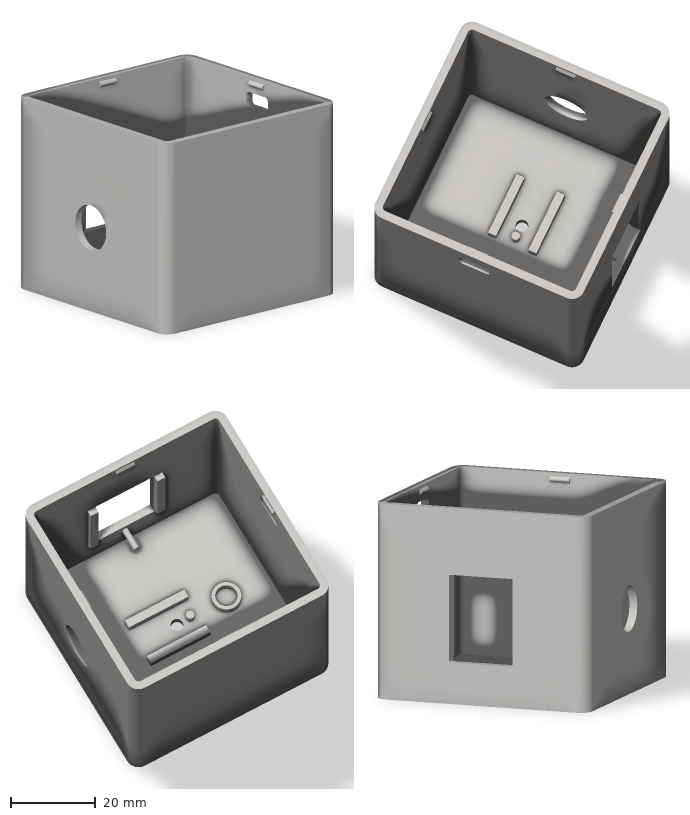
import cadquery as cq

SIDE = 54.0
HEIGHT = 47.0
WALL = 2.0
FLOOR = 2.0
OUTER_CORNER = 3.0
INNER_CORNER = 1.0
INNER_FACE = SIDE / 2 - WALL

FRONT_HOLE_RADIUS = 5.55
FRONT_HOLE_Z = 20.5

WINDOW_WIDTH = 16.0
WINDOW_BOTTOM = 10.0
WINDOW_TOP = 31.0
WINDOW_HEIGHT = WINDOW_TOP - WINDOW_BOTTOM
WINDOW_CORNER = 0.5
RIB_WIDTH = 2.1
RIB_DEPTH = 1.5

PIN_RADIUS = 0.75
PIN_LENGTH = 5.65
PIN_Z = 8.0

SLOT_WIDTH = 7.85
SLOT_HEIGHT = 3.5
SLOT_CORNER = 1.0
SLOT_Z = 41.4

RIDGE_LENGTH = 5.0
RIDGE_HEIGHT = 1.6
RIDGE_NOSE_RADIUS = 0.45
RIDGE_Z = 45.4

FLOOR_FEATURE_HEIGHT = 2.0
SCREW_HOLE_RADIUS = 1.5
PEG_RADIUS = 1.0
PEG_Y = 3.55
RAIL_WIDTH = 2.05
RAIL_LENGTH = 16.15
RAIL_PITCH = 10.5
RAIL_Y = -2.55
BOSS_RADIUS = 3.5
BOSS_HOLE_RADIUS = 2.65
BOSS_Y = 13.4


def box_shell():
    outer = cq.Workplane("XY").rect(SIDE, SIDE).extrude(HEIGHT).edges("|Z").fillet(OUTER_CORNER)
    cavity = (
        cq.Workplane("XY", origin=(0, 0, FLOOR))
        .rect(2 * INNER_FACE, 2 * INNER_FACE)
        .extrude(HEIGHT - FLOOR)
        .edges("|Z")
        .fillet(INNER_CORNER)
    )
    return outer.cut(cavity)


def front_hole():
    wall_plane = cq.Workplane("XZ", origin=(0, -INNER_FACE, FRONT_HOLE_Z))
    return wall_plane.circle(FRONT_HOLE_RADIUS).extrude(WALL)


def window():
    centre = (-SIDE / 2, 0, WINDOW_BOTTOM + WINDOW_HEIGHT / 2)
    opening = cq.Workplane("YZ", origin=centre).rect(WINDOW_WIDTH, WINDOW_HEIGHT).extrude(WALL)
    return opening.edges("|X and <Z").fillet(WINDOW_CORNER)


def window_ribs():
    """Ribs beside the window, each with a 45 degree slope under its lower end."""
    profile = (
        cq.Workplane("XZ")
        .moveTo(-INNER_FACE, WINDOW_BOTTOM)
        .lineTo(-INNER_FACE + RIB_DEPTH, WINDOW_BOTTOM + RIB_DEPTH)
        .lineTo(-INNER_FACE + RIB_DEPTH, WINDOW_TOP)
        .lineTo(-INNER_FACE, WINDOW_TOP)
        .close()
        .extrude(RIB_WIDTH / 2, both=True)
    )
    offset = (WINDOW_WIDTH + RIB_WIDTH) / 2
    return profile.translate((0, offset, 0)).union(profile.translate((0, -offset, 0)))


def wall_pin():
    start = cq.Workplane("YZ", origin=(-INNER_FACE, 0, PIN_Z))
    return start.circle(PIN_RADIUS).extrude(PIN_LENGTH)


def cable_slot():
    wall_plane = cq.Workplane("XZ", origin=(0, SIDE / 2, SLOT_Z))
    return wall_plane.rect(SLOT_WIDTH, SLOT_HEIGHT).extrude(WALL).edges("|Y").fillet(SLOT_CORNER)


def snap_ridges():
    """45 degree ridges with a rounded nose, repeated on the four walls."""
    half = RIDGE_HEIGHT / 2
    ridge = (
        cq.Workplane("XZ")
        .moveTo(INNER_FACE, RIDGE_Z - half)
        .lineTo(INNER_FACE, RIDGE_Z + half)
        .lineTo(INNER_FACE - half, RIDGE_Z)
        .close()
        .extrude(RIDGE_LENGTH / 2, both=True)
        .edges("|Y and <X")
        .fillet(RIDGE_NOSE_RADIUS)
    )
    ridges = ridge
    for angle in (90, 180, 270):
        ridges = ridges.union(ridge.rotate((0, 0, 0), (0, 0, 1), angle))
    return ridges


def floor_features():
    """Two parallel rails, a small locating peg and a ring boss, all standing on the floor."""
    floor_top = cq.Workplane("XY", origin=(0, 0, FLOOR))
    rail_centres = [(side * RAIL_PITCH / 2, RAIL_Y) for side in (-1, 1)]
    rails = floor_top.pushPoints(rail_centres).rect(RAIL_WIDTH, RAIL_LENGTH).extrude(FLOOR_FEATURE_HEIGHT)
    peg = floor_top.center(0, PEG_Y).circle(PEG_RADIUS).extrude(FLOOR_FEATURE_HEIGHT)
    boss_ring = floor_top.center(0, BOSS_Y).circle(BOSS_RADIUS).circle(BOSS_HOLE_RADIUS)
    return rails.union(peg).union(boss_ring.extrude(FLOOR_FEATURE_HEIGHT))


def screw_hole():
    return cq.Workplane("XY").circle(SCREW_HOLE_RADIUS).extrude(FLOOR)


result = (
    box_shell()
    .union(window_ribs())
    .union(wall_pin())
    .union(snap_ridges())
    .union(floor_features())
    .cut(front_hole())
    .cut(window())
    .cut(cable_slot())
    .cut(screw_hole())
)